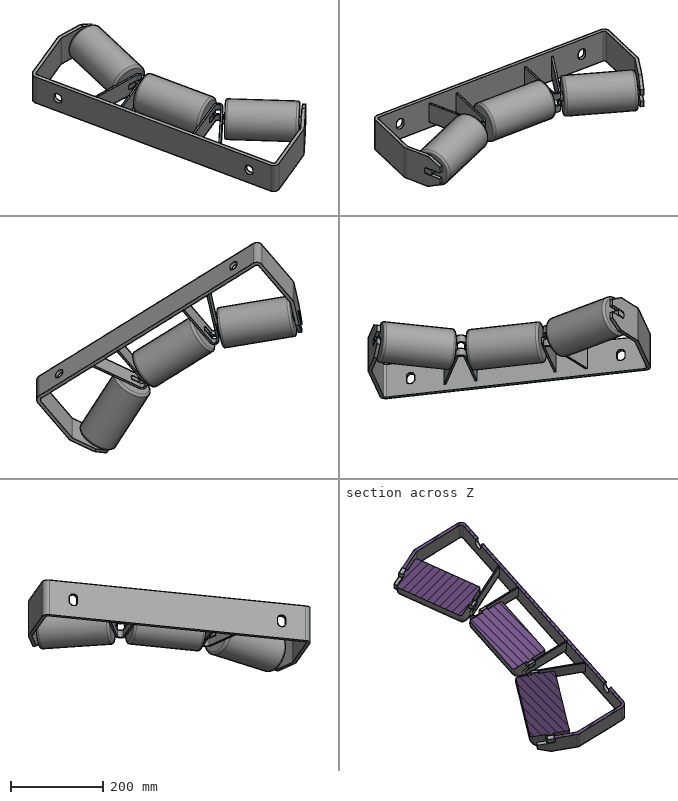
import cadquery as cq
import math

TILT = 25
AXIS_X = math.cos(math.radians(TILT))
AXIS_Y = math.sin(math.radians(TILT))

ROLLER_RADIUS = 44.5
ROLLER_LENGTH = 161.0
RIM_FILLET = 5.5
SHAFT_RADIUS = 10.0
SHAFT_FLATS = 14.0
FLAT_GAP = 2.0
MIDDLE_Y = 101.0
WING_X = 189.5
WING_Y = 146.0

PLATE_FACE = 86.0
SLOT_WIDTH = 16.0
SLOT_REACH = 60

FRAME_LENGTH = 600
FRAME_THICKNESS = 8.0
FRAME_WIDTH = 81.0
CORNER_RADIUS = 13.0
WING_BEND_RADIUS = 13.0
WING_LENGTH = 90.5
TIP_CHAMFER_ALONG = 30
TIP_CHAMFER_ACROSS = 17.5
MOUNT_X = 233.5
MOUNT_WIDTH = 18.5
MOUNT_HEIGHT = 27.0

BRACKET_THICKNESS = 4.0
BRACKET_BEND = 11.0
BRACKET_WIDTH = 50.0

BRACKET_BACK = PLATE_FACE + BRACKET_THICKNESS
FRAME_BACK = PLATE_FACE + FRAME_THICKNESS


def from_wing(along, up):
    """Point in XY, measured from the right wing roller along its axis and square to it."""
    return (WING_X + along * AXIS_X - up * AXIS_Y, WING_Y + along * AXIS_Y + up * AXIS_X)


def wing_up(along, x):
    """Distance square to the right wing axis at which the line at this place along it reaches x."""
    return (WING_X + along * AXIS_X - x) / AXIS_Y


def to_middle(shape):
    return shape.translate((0, MIDDLE_Y, 0))


def to_right_wing(shape):
    return shape.rotate((0, 0, 0), (0, 0, 1), TILT).translate((WING_X, WING_Y, 0))


def make_roller(shaft_right):
    """Roller at the origin along X; its shaft is flush with a bracket at -X, and ends at shaft_right at +X.

    Two flats facing Z let the shaft ends drop into their slots.
    """
    shell = (
        cq.Workplane("YZ", origin=(-ROLLER_LENGTH / 2, 0, 0))
        .circle(ROLLER_RADIUS)
        .extrude(ROLLER_LENGTH)
        .edges()
        .fillet(RIM_FILLET)
    )
    round_half = PLATE_FACE - FLAT_GAP
    round_shaft = (
        cq.Workplane("YZ", origin=(-round_half, 0, 0))
        .circle(SHAFT_RADIUS)
        .extrude(2 * round_half)
    )
    flat_shaft = (
        cq.Workplane("YZ", origin=(-BRACKET_BACK, 0, 0))
        .circle(SHAFT_RADIUS)
        .extrude(BRACKET_BACK + shaft_right)
        .intersect(cq.Workplane("XY").box(FRAME_LENGTH, 2 * SHAFT_RADIUS, SHAFT_FLATS))
    )
    return shell.union(round_shaft).union(flat_shaft)


def shaft_slot(depth):
    """Cutter for a shaft slot, open upward, on the +X side of a roller at the origin."""
    half = SLOT_WIDTH / 2
    shoulder = -math.sqrt(SHAFT_RADIUS**2 - half**2)
    return (
        cq.Workplane("YZ", origin=(PLATE_FACE, 0, 0))
        .moveTo(SLOT_REACH, -half)
        .lineTo(shoulder, -half)
        .threePointArc((-SHAFT_RADIUS, 0), (shoulder, half))
        .lineTo(SLOT_REACH, half)
        .close()
        .extrude(depth)
    )


def bent_strip(outline, width):
    return outline.close().extrude(width / 2, both=True)


def frame_half_outline(inset, end_up):
    """Points of the right half, base to wing tip, offset inward from the outside."""
    side_x = FRAME_LENGTH / 2 - inset
    face = FRAME_BACK - inset
    bend_up = wing_up(face, side_x)
    return [(side_x, inset), from_wing(face, bend_up), from_wing(face, end_up)]


def make_frame():
    tip_up = wing_up(FRAME_BACK, FRAME_LENGTH / 2) + WING_LENGTH
    outside = frame_half_outline(0, tip_up)
    inside = frame_half_outline(FRAME_THICKNESS, tip_up)
    half = bent_strip(
        cq.Workplane("XY").polyline([(0, 0), *outside, *reversed(inside), (0, FRAME_THICKNESS)]),
        FRAME_WIDTH,
    )

    bends = (
        (outside[0], CORNER_RADIUS),
        (inside[0], CORNER_RADIUS - FRAME_THICKNESS),
        (outside[1], WING_BEND_RADIUS),
        (inside[1], WING_BEND_RADIUS - FRAME_THICKNESS),
    )
    for (x, y), radius in bends:
        half = half.edges(cq.NearestToPointSelector((x, y, 0))).fillet(radius)

    for side in (-1, 1):
        edge_z = side * FRAME_WIDTH / 2
        corner = (
            cq.Workplane("YZ", origin=(PLATE_FACE, 0, 0))
            .polyline([
                (tip_up - TIP_CHAMFER_ALONG, edge_z),
                (tip_up, edge_z),
                (tip_up, edge_z - side * TIP_CHAMFER_ACROSS),
            ])
            .close()
            .extrude(FRAME_THICKNESS)
        )
        half = half.cut(to_right_wing(corner))
    half = half.cut(to_right_wing(shaft_slot(FRAME_THICKNESS)))

    mount = (
        cq.Workplane("XZ")
        .center(MOUNT_X, 0)
        .slot2D(MOUNT_HEIGHT, MOUNT_WIDTH, 90)
        .extrude(-FRAME_THICKNESS)
    )
    half = half.cut(mount)
    return half.union(half.mirror("YZ"))


def make_bracket():
    bend_x = PLATE_FACE + BRACKET_BEND
    bend_along = -bend_x
    bend_up = wing_up(bend_along, bend_x)
    bend_y = from_wing(bend_along, bend_up)[1]

    def bend_point(radius, degrees):
        angle = math.radians(degrees)
        return (bend_x + radius * math.cos(angle), bend_y + radius * math.sin(angle))

    def foot(along):
        down = (WING_Y + along * AXIS_Y - FRAME_THICKNESS) / AXIS_X
        return from_wing(along, -down)

    inner_bend = BRACKET_BEND - BRACKET_THICKNESS
    bracket = bent_strip(
        cq.Workplane("XY")
        .moveTo(PLATE_FACE, FRAME_THICKNESS)
        .lineTo(*bend_point(BRACKET_BEND, 180))
        .threePointArc(bend_point(BRACKET_BEND, 90), bend_point(BRACKET_BEND, TILT))
        .lineTo(*foot(-PLATE_FACE))
        .lineTo(*foot(-BRACKET_BACK))
        .lineTo(*bend_point(inner_bend, TILT))
        .threePointArc(bend_point(inner_bend, 90), bend_point(inner_bend, 180))
        .lineTo(BRACKET_BACK, FRAME_THICKNESS),
        BRACKET_WIDTH,
    )
    slot = shaft_slot(2 * BRACKET_BEND)
    bracket = bracket.cut(to_middle(slot))
    return bracket.cut(to_right_wing(slot.mirror("YZ")))


frame = make_frame()
right_bracket = make_bracket()
brackets = [right_bracket, right_bracket.mirror("YZ")]
middle_roller = to_middle(make_roller(BRACKET_BACK))
right_roller = to_right_wing(make_roller(FRAME_BACK))
rollers = [middle_roller, right_roller, right_roller.mirror("YZ")]

bodies = [frame, *brackets, *rollers]
result = cq.Compound.makeCompound([body.val() for body in bodies])